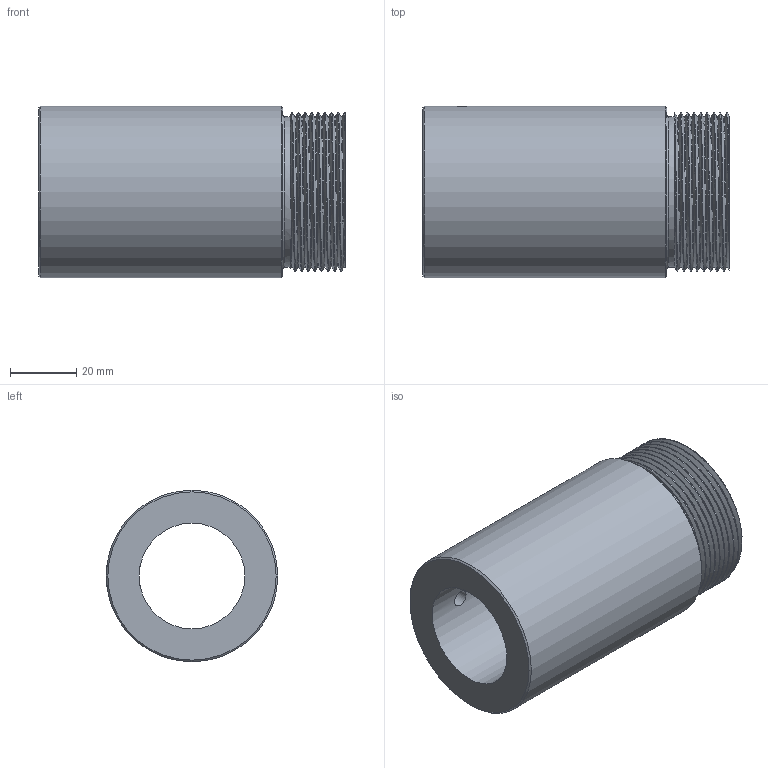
import cadquery as cq
import math

total_length = 93.0
body_length = 74.0
body_diameter = 52.0
bore_diameter = 32.0
body_chamfer = 0.5

relief_width = 2.3
relief_fillet = 0.5
thread_diameter = 48.0
thread_pitch = 2.0
thread_depth = 0.6134 * thread_pitch
thread_crest_width = thread_pitch / 8
thread_half_angle = math.radians(30)
thread_crest_offset = 0.45
thread_overrun = 2 * thread_pitch
thread_root_overlap = 0.1

side_hole_diameter = 5.0
side_hole_x = 12.0

body_radius = body_diameter / 2
bore_radius = bore_diameter / 2
root_radius = thread_diameter / 2 - thread_depth
thread_start = body_length + relief_width
thread_length = total_length - thread_start


def tube_along_x(start, length, outer_radius, inner_radius):
    """Plain tube on the X axis."""
    return (
        cq.Workplane("YZ", origin=(start, 0, 0))
        .circle(outer_radius)
        .circle(inner_radius)
        .extrude(length)
    )


def make_sleeve():
    """Revolve the body and the plain spigot core as one bored sleeve."""
    return (
        cq.Workplane("XZ")
        .moveTo(0, bore_radius)
        .lineTo(0, body_radius - body_chamfer)
        .lineTo(body_chamfer, body_radius)
        .lineTo(body_length - body_chamfer, body_radius)
        .lineTo(body_length, body_radius - body_chamfer)
        .lineTo(body_length, root_radius + relief_fillet)
        .radiusArc((body_length + relief_fillet, root_radius), -relief_fillet)
        .lineTo(total_length, root_radius)
        .lineTo(total_length, bore_radius)
        .close()
        .revolve(360, (0, 0, 0), (1, 0, 0))
    )


def make_thread_ridge():
    """Right-hand helical ridge, overrun at both ends and cut square to the thread length."""
    inner_radius = root_radius - thread_root_overlap
    crest_radius = thread_diameter / 2
    crest_half = thread_crest_width / 2
    base_half = crest_half + (crest_radius - inner_radius) * math.tan(thread_half_angle)

    helix_length = thread_length + 2 * thread_overrun
    helix = cq.Wire.makeHelix(thread_pitch, helix_length, root_radius)
    ridge = (
        cq.Workplane("XZ")
        .moveTo(inner_radius, -base_half)
        .lineTo(crest_radius, -crest_half)
        .lineTo(crest_radius, crest_half)
        .lineTo(inner_radius, base_half)
        .close()
        .sweep(cq.Workplane(obj=helix), isFrenet=True)
    )
    ridge = ridge.rotate((0, 0, 0), (0, 1, 0), 90)
    half_turn_advance = thread_pitch / 2
    ridge_start = thread_start + thread_crest_offset - half_turn_advance - thread_overrun
    ridge = ridge.translate((ridge_start, 0, 0))
    envelope = tube_along_x(thread_start, thread_length, body_radius, bore_radius)
    return ridge.intersect(envelope)


def make_side_hole():
    """Through hole from the bore axis out past the +Y side."""
    return (
        cq.Workplane("XZ", origin=(side_hole_x, 0, 0))
        .circle(side_hole_diameter / 2)
        .extrude(-body_diameter)
    )


result = make_sleeve().union(make_thread_ridge()).cut(make_side_hole())